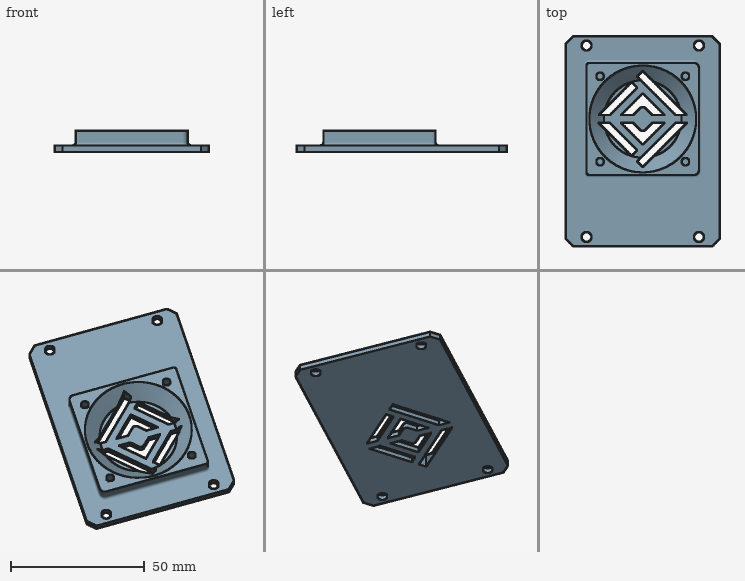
import cadquery as cq

plate_width = 57.6
plate_length = 78.6
plate_thickness = 2.5
plate_corner_chamfer = 2.9
mount_hole_diameter = 3.6
mount_hole_x = 21.0
mount_hole_y = 35.8

total_height = 8.0
seat_height = total_height - plate_thickness
seat_size = 42.0
seat_center_y = 8.3
left_corner_radius = 1.0
right_corner_radius = 2.0
seat_foot_fillet = 1.0
screw_hole_diameter = 2.8
screw_hole_offset = 15.95

funnel_top_radius = 20.0
funnel_bottom_radius = 14.5

outer_reach = 17.9
ring_pitch = 4.2
slot_inner_reach = outer_reach - ring_pitch
window_reach = slot_inner_reach - ring_pitch
hub_reach = 5.1
hub_tip_radius = 1.5
center_bar_half_width = 1.5


def make_plate():
    """Flat plate with chamfered corners and four mounting holes."""
    plate = cq.Workplane("XY").box(
        plate_width, plate_length, plate_thickness, centered=(True, True, False)
    )
    plate = plate.edges("|Z").chamfer(plate_corner_chamfer)
    return (
        plate.faces(">Z").workplane(origin=(0, 0, plate_thickness))
        .rect(2 * mount_hole_x, 2 * mount_hole_y, forConstruction=True)
        .vertices()
        .hole(mount_hole_diameter)
    )


def make_seat():
    """Square block with larger corner radii on its +X side."""
    seat = (
        cq.Workplane("XY", origin=(0, seat_center_y, plate_thickness))
        .rect(seat_size, seat_size)
        .extrude(seat_height)
    )
    seat = seat.edges("|Z and <X").fillet(left_corner_radius)
    return seat.edges("|Z and >X").fillet(right_corner_radius)


def fillet_seat_foot(body):
    """Round the inside corner where the seat rises from the plate."""
    margin = 0.4
    span = seat_size + 2 * margin
    foot_zone = cq.selectors.BoxSelector(
        (-span / 2, seat_center_y - span / 2, plate_thickness - margin),
        (span / 2, seat_center_y + span / 2, plate_thickness + margin),
        boundingbox=True,
    )
    return body.edges(foot_zone).fillet(seat_foot_fillet)


def make_screw_holes():
    """Four blind holes running from the seat's top to the plate's top."""
    return (
        cq.Workplane("XY", origin=(0, seat_center_y, plate_thickness))
        .rect(2 * screw_hole_offset, 2 * screw_hole_offset, forConstruction=True)
        .vertices()
        .circle(screw_hole_diameter / 2)
        .extrude(seat_height)
    )


def make_funnel():
    """Cone frustum, widest at the seat's top."""
    return (
        cq.Workplane("XY", origin=(0, seat_center_y, plate_thickness))
        .circle(funnel_bottom_radius)
        .workplane(offset=seat_height)
        .circle(funnel_top_radius)
        .loft(ruled=True)
    )


def diagonal_point(rising, falling):
    """Point where the lines y + x = falling and y - x = rising cross."""
    return ((falling - rising) / 2, (falling + rising) / 2)


def extrude_outline(points):
    """Closed outline about the grille centre, extruded through the full height."""
    return (
        cq.Workplane("XY", origin=(0, seat_center_y, 0))
        .polyline(points)
        .close()
        .extrude(total_height)
    )


def make_upper_openings():
    """Long slot, short slot and central window on the +Y side of the bar."""
    bar = center_bar_half_width
    long_slot = extrude_outline([
        (slot_inner_reach - bar, bar),
        (outer_reach - bar, bar),
        diagonal_point(outer_reach, outer_reach),
        diagonal_point(outer_reach, slot_inner_reach),
    ])
    short_slot = extrude_outline([
        (bar - slot_inner_reach, bar),
        (bar - outer_reach, bar),
        diagonal_point(outer_reach, window_reach),
        diagonal_point(slot_inner_reach, window_reach),
    ])
    window = extrude_outline([
        (bar - window_reach, bar),
        (0, window_reach),
        (window_reach - bar, bar),
    ])
    hub = extrude_outline([
        (bar - hub_reach, bar),
        (0, hub_reach),
        (hub_reach - bar, bar),
    ])
    hub = hub.edges("|Z and >Y").fillet(hub_tip_radius)
    return [long_slot, short_slot, window.cut(hub)]


result = fillet_seat_foot(make_plate().union(make_seat()))
result = result.cut(make_screw_holes()).cut(make_funnel())
for opening in make_upper_openings():
    mirrored_opening = opening.mirror("XZ", (0, seat_center_y, 0))
    result = result.cut(opening).cut(mirrored_opening)